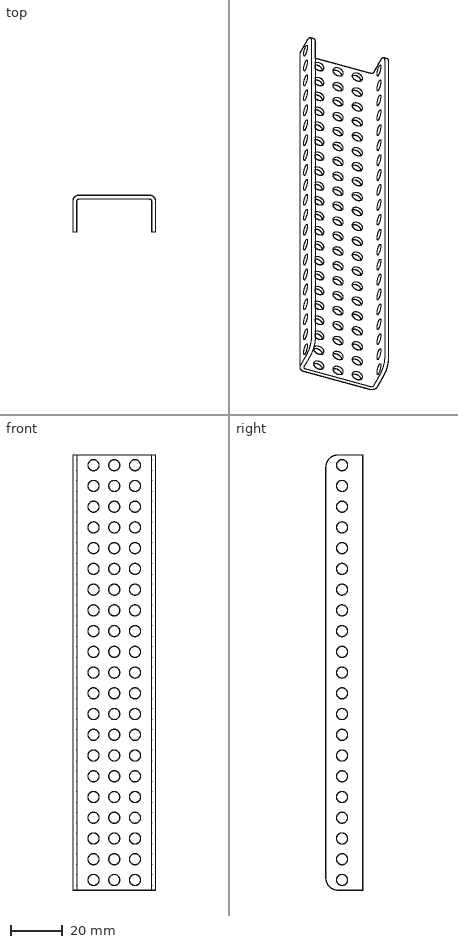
import cadquery as cq

WIDTH = 32.0
FLANGE_DEPTH = 14.3
LENGTH = 168.0

THICKNESS = 1.6
INNER_BEND_RADIUS = THICKNESS / 2
OUTER_BEND_RADIUS = INNER_BEND_RADIUS + THICKNESS
FLANGE_CORNER_RADIUS = 4.8

HOLE_DIAMETER = 4.2
HOLE_PITCH = 8.0
WEB_COLUMNS = 3
ROWS = round(LENGTH / HOLE_PITCH)
FLANGE_HOLE_FROM_BACK = HOLE_PITCH

BACK_Y = FLANGE_DEPTH / 2


def centered_positions(count):
    """Hole coordinates along one axis, centred on the origin."""
    return [(i - (count - 1) / 2) * HOLE_PITCH for i in range(count)]


def make_block(width, depth, back_y):
    """Full-length block whose rear face lies at back_y."""
    return cq.Workplane("XY").box(width, depth, LENGTH).translate((0, back_y - depth / 2, 0))


def make_channel():
    """Bent U section with rounded bends, extruded along Z."""
    outside = make_block(WIDTH, FLANGE_DEPTH, BACK_Y)
    outside = outside.edges("|Z and >Y").fillet(OUTER_BEND_RADIUS)
    inside = make_block(WIDTH - 2 * THICKNESS, FLANGE_DEPTH, BACK_Y - THICKNESS)
    inside = inside.edges("|Z and >Y").fillet(INNER_BEND_RADIUS)
    return outside.cut(inside)


def round_flange_corners(channel):
    """Round the free corners at both ends of each flange."""
    return channel.edges("|X and <Y").fillet(FLANGE_CORNER_RADIUS)


def web_holes():
    """Grid of cutters through the web along Y."""
    centers = [(x, z) for x in centered_positions(WEB_COLUMNS) for z in centered_positions(ROWS)]
    return (
        cq.Workplane("XZ")
        .pushPoints(centers)
        .circle(HOLE_DIAMETER / 2)
        .extrude(FLANGE_DEPTH, both=True)
    )


def flange_holes():
    """Single row of cutters through both flanges along X."""
    hole_y = BACK_Y - FLANGE_HOLE_FROM_BACK
    centers = [(hole_y, z) for z in centered_positions(ROWS)]
    return (
        cq.Workplane("YZ")
        .pushPoints(centers)
        .circle(HOLE_DIAMETER / 2)
        .extrude(WIDTH, both=True)
    )


channel = round_flange_corners(make_channel())
result = channel.cut(web_holes()).cut(flange_holes())